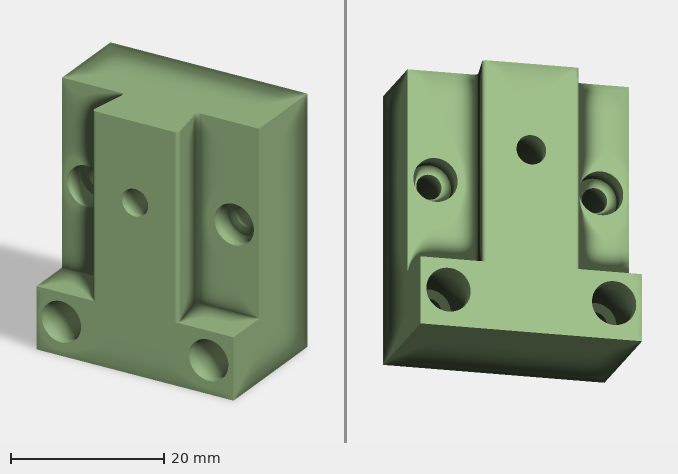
import cadquery as cq
import math

width = 30.0
depth = 18.8
height = 36.75

recess_depth = 6.5
recess_bottom = 9.2
rail_half_width = 6.6
flank_angle = 10.0
edge_radius = 0.5
root_half_width = rail_half_width - recess_depth * math.tan(math.radians(flank_angle))

screw_diameter = 3.4
counterbore_diameter = 6.0
screw_x = 11.2
lower_screw_z = 4.92
screw_pitch_z = 16.98
counterbore_depth = 3.3
seat_y = recess_depth + counterbore_depth

rail_hole_diameter = 4.0
rail_hole_z = 25.0


def cylinder_from_front(x, z, diameter, length):
    """Cylinder running from the front face toward +Y."""
    return cq.Workplane(cq.Solid.makeCylinder(
        diameter / 2, length, cq.Vector(x, 0, z), cq.Vector(0, 1, 0)))


def make_rail_section():
    """Full-height base plate with the dovetail rail, its flank edges rounded."""
    half = width / 2
    profile = [
        (-half, depth),
        (-half, recess_depth),
        (-root_half_width, recess_depth),
        (-rail_half_width, 0),
        (rail_half_width, 0),
        (root_half_width, recess_depth),
        (half, recess_depth),
        (half, depth),
    ]
    section = cq.Workplane("XY").polyline(profile).close().extrude(height)
    margin = edge_radius
    flank_edges = cq.selectors.BoxSelector(
        (-rail_half_width - margin, -margin, 0),
        (rail_half_width + margin, recess_depth + margin, height))
    return section.edges("|Z").edges(flank_edges).fillet(edge_radius)


def make_foot():
    """Full-depth block below the recesses."""
    return cq.Workplane("XY").box(width, depth, recess_bottom, centered=(True, False, False))


body = make_rail_section().union(make_foot())

for x in (-screw_x, screw_x):
    for z in (lower_screw_z, lower_screw_z + screw_pitch_z):
        body = body.cut(cylinder_from_front(x, z, screw_diameter, depth))
        body = body.cut(cylinder_from_front(x, z, counterbore_diameter, seat_y))

result = body.cut(cylinder_from_front(0, rail_hole_z, rail_hole_diameter, depth))